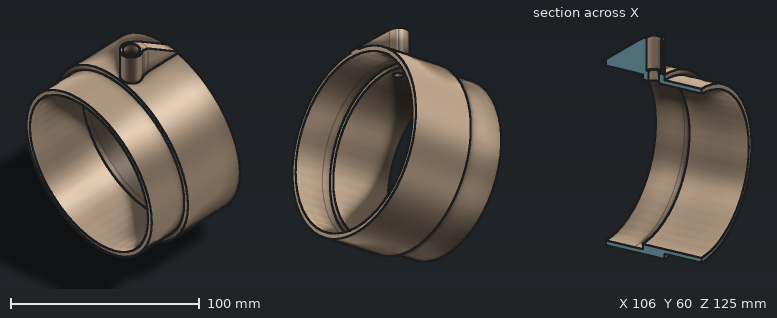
import cadquery as cq
import math

sleeve_diameter = 106.0
sleeve_length = 37.0
spigot_diameter = 100.0
spigot_length = 23.0
spigot_bore_diameter = 94.0
socket_bore_diameter = spigot_diameter
socket_floor_diameter = 99.8
socket_taper_length = 5.0

tube_diameter = 12.0
tube_bore_diameter = 9.0
port_diameter = 6.0
tube_top_z = 72.0
tube_y = 7.0

rib_width = 7.2
rib_back_height = 0.9
rib_bend_from_tube = 9.4
rib_bend_drop = 2.55
rib_ramp_drop = 0.4
flare_start_from_tube = 8.8
flare_bend_from_tube = 5.2
flare_bend_half_width = 4.2
flare_end_from_tube = 3.65

sleeve_radius = sleeve_diameter / 2
spigot_radius = spigot_diameter / 2
spigot_bore_radius = spigot_bore_diameter / 2
socket_bore_radius = socket_bore_diameter / 2
socket_floor_radius = socket_floor_diameter / 2
socket_floor_y = sleeve_length - spigot_length
tube_radius = tube_diameter / 2
rib_half_width = rib_width / 2
root_z = (socket_bore_radius + sleeve_radius) / 2


def make_ring():
    """Revolve the stepped wall; the back socket narrows slightly towards its floor."""
    profile = [
        (spigot_bore_radius, -spigot_length),
        (spigot_radius, -spigot_length),
        (spigot_radius, 0),
        (sleeve_radius, 0),
        (sleeve_radius, sleeve_length),
        (socket_bore_radius, sleeve_length),
        (socket_bore_radius, socket_floor_y + socket_taper_length),
        (socket_floor_radius, socket_floor_y),
        (spigot_bore_radius, socket_floor_y),
    ]
    return cq.Workplane("XY").polyline(profile).close().revolve(360, (0, 0, 0), (0, 1, 0))


def make_tube_and_rib_plan():
    """Upright block seen from above: round tube, flared neck and parallel rib sides."""
    height = tube_top_z - root_z
    flare_end_half_width = math.sqrt(tube_radius**2 - flare_end_from_tube**2)
    right_side = [
        (flare_end_half_width, flare_end_from_tube),
        (flare_bend_half_width, flare_bend_from_tube),
        (rib_half_width, flare_start_from_tube),
        (rib_half_width, sleeve_length - tube_y),
    ]
    left_side = [(-x, y) for x, y in reversed(right_side)]
    return (
        cq.Workplane("XY", origin=(0, tube_y, root_z))
        .polyline(right_side + left_side)
        .threePointArc((0, -tube_radius), right_side[0])
        .close()
        .extrude(height)
    )


def make_tube_and_rib_side():
    """Block seen along X: flat tube top, short ramp, rounded bend and straight slope."""
    tube_front_y = tube_y - tube_radius
    bend_start = (tube_y + rib_bend_from_tube, tube_top_z - rib_bend_drop)
    bend_end = (tube_y + flare_bend_from_tube, tube_top_z - rib_ramp_drop)
    return (
        cq.Workplane("YZ")
        .moveTo(sleeve_length, sleeve_radius + rib_back_height)
        .lineTo(*bend_start)
        .tangentArcPoint(bend_end, relative=False)
        .lineTo(tube_y + flare_end_from_tube, tube_top_z)
        .lineTo(tube_front_y, tube_top_z)
        .lineTo(tube_front_y, root_z)
        .lineTo(sleeve_length, root_z)
        .close()
        .extrude(tube_radius, both=True)
    )


def make_stepped_hole():
    """Wide bore down to the top of the sleeve, then a port through the ring wall."""
    bore = (
        cq.Workplane("XY", origin=(0, tube_y, sleeve_radius))
        .circle(tube_bore_diameter / 2)
        .extrude(tube_top_z - sleeve_radius)
    )
    port = cq.Workplane("XY", origin=(0, tube_y, 0)).circle(port_diameter / 2).extrude(sleeve_radius)
    return bore.union(port)


tube_and_rib = make_tube_and_rib_plan().intersect(make_tube_and_rib_side())
result = make_ring().union(tube_and_rib).cut(make_stepped_hole())